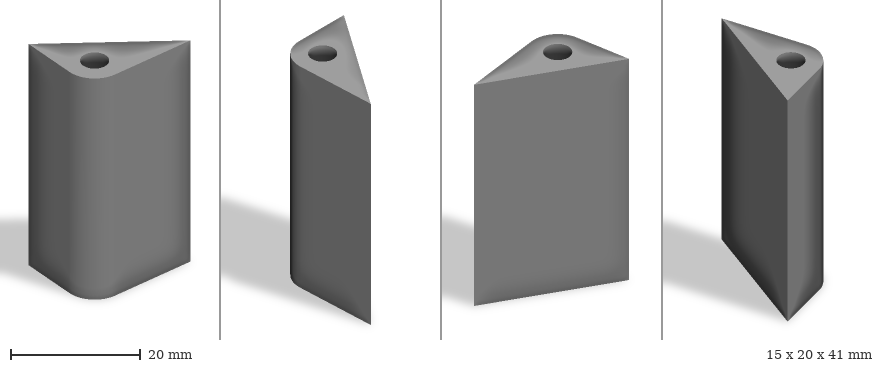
import cadquery as cq

length_x = 15.0
length_y = 20.0
height = 41.0
corner_radius = 5.0
hole_diameter = 4.5

hole_x = length_x - corner_radius
hole_y = corner_radius

prism = (
    cq.Workplane("XY")
    .polyline([(0, 0), (length_x, 0), (length_x, length_y)])
    .close()
    .extrude(height)
)

square_corner_edge = cq.selectors.NearestToPointSelector((length_x, 0, height / 2))
body = prism.edges(square_corner_edge).fillet(corner_radius)

hole = (
    cq.Workplane("XY")
    .center(hole_x, hole_y)
    .circle(hole_diameter / 2)
    .extrude(height)
)

result = body.cut(hole)